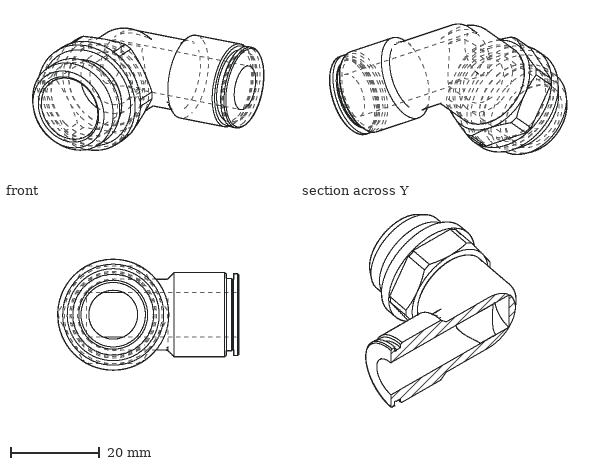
import cadquery as cq
import math


elbow_radius = 8.0
corner_ratio = 0.5
corner_turn_steps = 16
corner_tilt_steps = 32
corner_tolerance = 1e-4
sewing_tolerance = 1e-3

arm_radius = 9.5
arm_shoulder_start = 12.2
arm_shoulder_angle = math.radians(45)
arm_body_end = 25.47
arm_end_chamfer = 0.4
arm_root_fillet = 0.6

collar_radius = 9.25
collar_start = 27.1
collar_end = 28.26
collar_chamfer = 0.3
collar_neck_radius = 8.15
collar_neck_end = 26.8
collar_neck_chamfer = 0.2

stem_radius = 9.75
stem_shoulder_start = 0.55
stem_shoulder_end = 1.8
stem_end = 13.5
stem_end_chamfer = 0.3
stem_edge_fillet = 0.8
stem_root_fillet = 0.5
selection_margin = 0.02

hex_across_flats = 22.0
hex_corner_radius = 12.25
hex_chamfer_angle = 30.0

flange_radius = 12.5
flange_start = 20.0
flange_end = 22.6
seal_end = 23.45
seal_section_radius = 1.2

neck_radius = 9.02
neck_end = 24.55
thread_radius = 10.35
thread_start = 25.9
thread_taper_start = 28.95
tip_radius = 9.1
tip_end = 31.0

arm_bore_radius = 5.0
arm_bore_start = -6.0
stem_bore_radius = 5.5
stem_bore_end = 0.0
mouth_radius = 7.25
mouth_end = 12.0
mouth_chamfer = 0.5
mouth_cone_angle = 60.0


def revolve_about_arm(points):
    """Revolve an outline of (X, radius) points about the arm axis."""
    return cq.Workplane("XZ").polyline(points).close().revolve(360, (0, 0, 0), (1, 0, 0))


def revolve_about_stem(points):
    """Revolve an outline of (radius, distance along -Y) points about the stem axis."""
    outline = [(-distance, radius) for radius, distance in points]
    return cq.Workplane("YZ").polyline(outline).close().revolve(360, (0, 0, 0), (1, 0, 0))


def arm_root_start():
    """X where the fillet at the root of the arm shoulder leaves the tube."""
    return arm_shoulder_start - arm_root_fillet * math.tan(arm_shoulder_angle / 2)


def make_corner_face():
    """Rounded outer corner: every level section is one outline scaled by the half width at that level."""
    rounding = corner_ratio
    flat = 1 - corner_ratio

    def surface_point(turn, tilt):
        half_width = elbow_radius * math.cos(tilt)
        x = -half_width * (flat + rounding * math.cos(turn))
        y = half_width * (flat + rounding * math.sin(turn))
        return cq.Vector(x, y, elbow_radius * math.sin(tilt))

    turns = [math.pi / 2 * i / corner_turn_steps for i in range(corner_turn_steps + 1)]
    tilts = [math.pi * (j / corner_tilt_steps - 0.5) for j in range(corner_tilt_steps + 1)]
    grid = [[surface_point(turn, tilt) for tilt in tilts] for turn in turns]
    return cq.Face.makeSplineApprox(grid, tol=corner_tolerance, minDeg=3, maxDeg=8)


def make_zone(points):
    """Tall prism through the elbow with the given XY outline."""
    return cq.Workplane("XY").polyline(points).close().extrude(2 * elbow_radius, both=True)


def make_elbow():
    """Two equal tubes meeting in a mitre, closed by the rounded corner face."""
    far = 2 * tip_end
    near = far * (1 - corner_ratio)
    arm_zone = make_zone([(0, 0), (-near, far), (far, far), (far, -far)])
    stem_zone = make_zone([(0, 0), (-far, near), (-far, -far), (far, -far)])
    arm_tube = (
        cq.Workplane("YZ", origin=(-elbow_radius, 0, 0))
        .circle(elbow_radius)
        .extrude(elbow_radius + arm_root_start())
    )
    stem_tube = (
        cq.Workplane("XZ", origin=(0, elbow_radius, 0))
        .circle(elbow_radius)
        .extrude(elbow_radius + stem_end)
    )
    tubes = arm_tube.intersect(arm_zone).union(stem_tube.intersect(stem_zone))
    outside = tubes.faces("%CYLINDER or >X or <Y").vals()
    skin = cq.occ_impl.shapes.shell(*outside, make_corner_face(), tol=sewing_tolerance)
    return cq.Workplane(cq.occ_impl.shapes.solid(skin))


def make_arm():
    """Push-in sleeve of the arm with its conical shoulder, and the release collar behind a neck."""
    shoulder_end = arm_shoulder_start + (arm_radius - elbow_radius) / math.tan(arm_shoulder_angle)
    root_start = arm_root_start()
    root_middle = (
        root_start + arm_root_fillet * math.sin(arm_shoulder_angle / 2),
        elbow_radius + arm_root_fillet * (1 - math.cos(arm_shoulder_angle / 2)),
    )
    root_end = (
        root_start + arm_root_fillet * math.sin(arm_shoulder_angle),
        elbow_radius + arm_root_fillet * (1 - math.cos(arm_shoulder_angle)),
    )
    sleeve = (
        cq.Workplane("XZ")
        .moveTo(root_start, 0)
        .lineTo(root_start, elbow_radius)
        .threePointArc(root_middle, root_end)
        .lineTo(shoulder_end, arm_radius)
        .lineTo(arm_body_end - arm_end_chamfer, arm_radius)
        .lineTo(arm_body_end, arm_radius - arm_end_chamfer)
        .lineTo(arm_body_end, 0)
        .close()
        .revolve(360, (0, 0, 0), (1, 0, 0))
    )
    collar_inner_radius = collar_neck_radius - collar_neck_chamfer
    collar = revolve_about_arm([
        (arm_body_end, 0),
        (arm_body_end, collar_neck_radius),
        (collar_neck_end - collar_neck_chamfer, collar_neck_radius),
        (collar_neck_end, collar_inner_radius),
        (collar_start, collar_inner_radius),
        (collar_start, collar_radius),
        (collar_end - collar_chamfer, collar_radius),
        (collar_end, collar_radius - collar_chamfer),
        (collar_end, 0),
    ])
    return sleeve.union(collar)


def make_stem():
    """Stem body between the elbow and the hexagon."""
    body = revolve_about_stem([
        (0, stem_shoulder_start),
        (elbow_radius, stem_shoulder_start),
        (stem_radius, stem_shoulder_end),
        (stem_radius, stem_end - stem_end_chamfer),
        (stem_radius - stem_end_chamfer, stem_end),
        (0, stem_end),
    ])
    shoulder_edge = cq.selectors.NearestToPointSelector((0, -stem_shoulder_end, 0))
    return body.edges(shoulder_edge).fillet(stem_edge_fillet)


def make_hexagon():
    """Hexagon with cut corners, a chamfered inner end and corner roots flared into the flange."""
    flat_radius = hex_across_flats / 2
    chamfer_length = (hex_corner_radius - flat_radius) * math.tan(math.radians(hex_chamfer_angle))
    flare = flange_radius - hex_corner_radius
    hex_length = flange_start - stem_end
    prism = (
        cq.Workplane("XZ", origin=(0, -stem_end, 0))
        .polygon(6, hex_across_flats / math.cos(math.pi / 6))
        .extrude(hex_length)
    )
    envelope = revolve_about_stem([
        (0, stem_end),
        (flat_radius, stem_end),
        (hex_corner_radius, stem_end + chamfer_length),
        (hex_corner_radius, flange_start - flare),
        (flange_radius, flange_start),
        (0, flange_start),
    ])
    return prism.intersect(envelope)


def make_flange():
    """Round flange with a sealing ring sunk partly into its outer face."""
    flange = revolve_about_stem([
        (0, flange_start), (flange_radius, flange_start), (flange_radius, flange_end), (0, flange_end),
    ])
    seal = cq.Solid.makeTorus(
        neck_radius + seal_section_radius,
        seal_section_radius,
        cq.Vector(0, seal_section_radius - seal_end, 0),
        cq.Vector(0, 1, 0),
    )
    return flange.union(cq.Workplane(seal))


def make_threaded_end():
    """Neck and thread envelope with tapered ends."""
    return revolve_about_stem([
        (0, flange_start),
        (neck_radius, flange_start),
        (neck_radius, neck_end),
        (thread_radius, thread_start),
        (thread_radius, thread_taper_start),
        (tip_radius, tip_end),
        (0, tip_end),
    ])


def make_arm_bore():
    """Cross bore along the arm, open at the collar."""
    return (
        cq.Workplane("YZ", origin=(arm_bore_start, 0, 0))
        .circle(arm_bore_radius)
        .extrude(collar_end - arm_bore_start)
    )


def make_stem_bore():
    """Stepped bore of the stem, open at the threaded end."""
    cone_length = (mouth_radius - stem_bore_radius) / math.tan(math.radians(mouth_cone_angle))
    return revolve_about_stem([
        (0, stem_bore_end),
        (stem_bore_radius, stem_bore_end),
        (stem_bore_radius, mouth_end - cone_length),
        (mouth_radius, mouth_end),
        (mouth_radius, tip_end - mouth_chamfer),
        (mouth_radius + mouth_chamfer, tip_end),
        (0, tip_end),
    ])


def make_outside():
    """All outer forms joined, with a fillet along the line where the stem shoulder meets the elbow."""
    outside = make_elbow().union(make_arm()).union(make_stem())
    reach = elbow_radius + selection_margin
    root_box = cq.selectors.BoxSelector(
        (-reach, -reach, -reach),
        (stem_radius + selection_margin, selection_margin, reach),
        boundingbox=True,
    )
    outside = outside.edges(root_box).fillet(stem_root_fillet)
    for feature in (make_hexagon(), make_flange(), make_threaded_end()):
        outside = outside.union(feature)
    return outside


result = make_outside().cut(make_arm_bore()).cut(make_stem_bore())